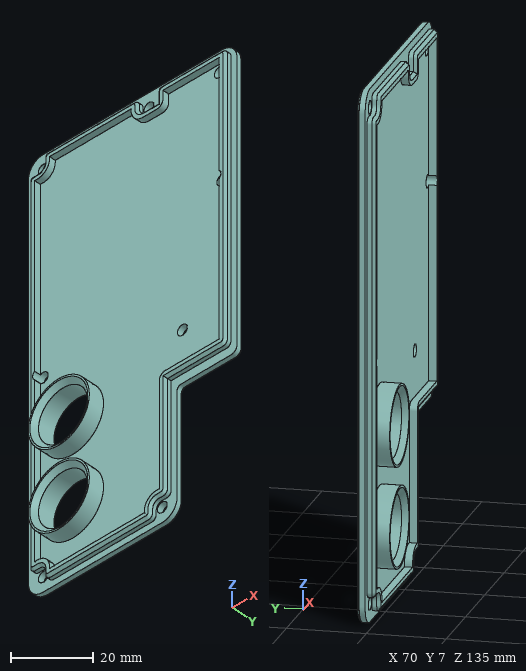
import cadquery as cq
import math

height = 135.0
width = 70.0
foot_width = 50.0
step_z = 39.3
plate_thickness = 2.0
plate_radius = 5.0
step_radius = 2.0
step_fillet = 1.4
back_chamfer = 0.5

lip_inset = 2.0
step_lip_inset = 2.8
lip_height = 2.0
lip_wall = 2.0
lip_chamfer = 0.8
lip_corner_radius = 1.5

hole_diameter = 3.2
screw_side_inset = 5.0
screw_end_inset = 4.7
top_screw_x = 40.5
notch_radius = 2.0
top_notch_right = 45.1
inner_holes = [(64.1, 128.5), (65.0, 94.9), (5.0, 66.2), (51.7, 55.8)]

sleeve_x = 15.0
sleeve_heights = [21.6, 47.4]
sleeve_outer_diameter = 20.5
sleeve_bore_diameter = 16.5
sleeve_length = 3.0
sleeve_rim = 0.5
mouth_chamfer = (sleeve_outer_diameter - sleeve_bore_diameter) / 2 - sleeve_rim

lip_front = plate_thickness + lip_height
sleeve_front = lip_front + sleeve_length


def layer(depth):
    """Workplane facing -Y at the given depth in front of the back face."""
    return cq.Workplane("XZ", origin=(0, -depth, 0))


def unit_step(start, end):
    length = math.dist(start, end)
    return (end[0] - start[0]) / length, (end[1] - start[1]) / length


def rounded_outline(plane, corners):
    """Closed outline of square corners (x, z, radius); radius 0 stays sharp."""
    arc_inset = 1 - math.sqrt(0.5)
    outline = None
    for i, (x, z, radius) in enumerate(corners):
        before = unit_step((x, z), corners[i - 1][:2])
        after = unit_step((x, z), corners[(i + 1) % len(corners)][:2])
        start = (x + radius * before[0], z + radius * before[1])
        end = (x + radius * after[0], z + radius * after[1])
        middle = (
            x + radius * arc_inset * (before[0] + after[0]),
            z + radius * arc_inset * (before[1] + after[1]),
        )
        outline = plane.moveTo(*start) if outline is None else outline.lineTo(*start)
        if radius > 0:
            outline = outline.threePointArc(middle, end)
    return outline.close()


def make_plate():
    corners = [
        (0, 0, plate_radius),
        (0, height, plate_radius),
        (width, height, plate_radius),
        (width, step_z, step_radius),
        (foot_width, step_z, step_fillet),
        (foot_width, 0, plate_radius),
    ]
    plate = rounded_outline(layer(0), corners).extrude(plate_thickness)
    return plate.faces(">Y").chamfer(back_chamfer)


def lip_outline():
    left = lip_inset
    right = width - lip_inset
    bottom = lip_inset
    top = height - lip_inset
    foot_right = foot_width - lip_inset
    step_bottom = step_z + step_lip_inset
    notch_left = screw_side_inset + notch_radius
    notch_right = foot_width - notch_left
    notch_bottom = screw_end_inset + notch_radius
    notch_top = height - notch_bottom
    r = lip_corner_radius
    corners = [
        (left, notch_bottom, r),
        (left, notch_top, r),
        (notch_left, notch_top, notch_radius),
        (notch_left, top, r),
        (top_screw_x - notch_radius, top, r),
        (top_screw_x - notch_radius, notch_top, notch_radius),
        (top_notch_right, notch_top, 0),
        (top_notch_right, top, r),
        (right, top, r),
        (right, step_bottom, r),
        (foot_right, step_bottom, 0),
        (foot_right, notch_bottom, r),
        (notch_right, notch_bottom, notch_radius),
        (notch_right, bottom, r),
        (notch_left, bottom, r),
        (notch_left, notch_bottom, notch_radius),
    ]
    return rounded_outline(layer(plate_thickness), corners)


def make_lip():
    lip = lip_outline().extrude(lip_height).faces("<Y").chamfer(lip_chamfer)
    inside = lip_outline().offset2D(-lip_wall).extrude(lip_height)
    return lip.cut(inside)


def drill_screw_holes(body):
    edge_screws = [
        (screw_side_inset, screw_end_inset),
        (foot_width - screw_side_inset, screw_end_inset),
        (screw_side_inset, height - screw_end_inset),
        (top_screw_x, height - screw_end_inset),
    ]
    centres = edge_screws + inner_holes
    return body.cut(layer(0).pushPoints(centres).circle(hole_diameter / 2).extrude(lip_front))


def add_sleeves(body):
    for z in sleeve_heights:
        centre = layer(0).center(sleeve_x, z)
        bore = centre.circle(sleeve_bore_diameter / 2).extrude(sleeve_front)
        sleeve = centre.circle(sleeve_outer_diameter / 2).extrude(sleeve_front).cut(bore)
        mouth_edge = sleeve.faces("<Y").edges(cq.selectors.RadiusNthSelector(0))
        body = body.cut(bore).union(mouth_edge.chamfer(mouth_chamfer))
    return body


result = make_plate().union(make_lip())
result = drill_screw_holes(result)
result = add_sleeves(result)